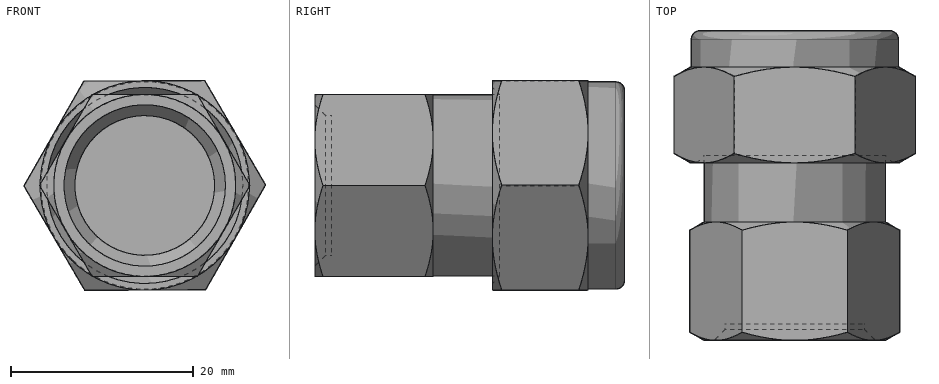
import cadquery as cq
import math

front_hex_length = 13.0
neck_length = 6.5
rear_hex_length = 10.5
collar_length = 4.0

front_hex_flats = 20.0
rear_hex_flats = 23.0
rear_hex_twist = -0.24
neck_diameter = 19.92
collar_diameter = 22.78
collar_fillet = 1.0
hex_chamfer_angle = 30.0

mouth_diameter = 17.7
bore_diameter = 15.35
mouth_depth = (mouth_diameter - bore_diameter) / 2
bore_depth = 1.8

countersink_diameter = 21.52
countersink_depth = (countersink_diameter - neck_diameter) / 2

total_length = front_hex_length + neck_length + rear_hex_length + collar_length
front_y = -total_length / 2
neck_y = front_y + front_hex_length
rear_hex_y = neck_y + neck_length
collar_y = rear_hex_y + rear_hex_length


def plane_at(y):
    """XZ plane at station y with its normal toward +Y."""
    return cq.Plane(origin=(0, y, 0), xDir=(1, 0, 0), normal=(0, 1, 0))


def cylinder(y, diameter, length):
    return cq.Workplane(plane_at(y)).circle(diameter / 2).extrude(length)


def chamfered_hex(y, flats, length):
    """Hexagon with corners on the X axis and both ends turned to a cone from the flats."""
    corners = flats / math.cos(math.radians(30))
    prism = cq.Workplane(plane_at(y)).polygon(6, corners).extrude(length)
    end_radius = flats / 2
    outer_radius = corners / 2
    drop = (outer_radius - end_radius) * math.tan(math.radians(hex_chamfer_angle))
    envelope = (
        cq.Workplane("XY")
        .moveTo(0, y)
        .lineTo(end_radius, y)
        .lineTo(outer_radius, y + drop)
        .lineTo(outer_radius, y + length - drop)
        .lineTo(end_radius, y + length)
        .lineTo(0, y + length)
        .close()
        .revolve(360, (0, 0, 0), (0, 1, 0))
    )
    return prism.intersect(envelope)


def front_bore():
    profile = (
        cq.Workplane("XY")
        .moveTo(0, front_y)
        .lineTo(mouth_diameter / 2, front_y)
        .lineTo(bore_diameter / 2, front_y + mouth_depth)
        .lineTo(bore_diameter / 2, front_y + bore_depth)
        .lineTo(0, front_y + bore_depth)
        .close()
    )
    return profile.revolve(360, (0, 0, 0), (0, 1, 0))


def rear_hex_countersink():
    """Cone narrowing from the rear hexagon's front face down to the neck."""
    profile = (
        cq.Workplane("XY")
        .moveTo(0, rear_hex_y)
        .lineTo(countersink_diameter / 2, rear_hex_y)
        .lineTo(neck_diameter / 2, rear_hex_y + countersink_depth)
        .lineTo(0, rear_hex_y + countersink_depth)
        .close()
    )
    return profile.revolve(360, (0, 0, 0), (0, 1, 0))


front_hex = chamfered_hex(front_y, front_hex_flats, front_hex_length)
neck = cylinder(neck_y, neck_diameter, neck_length + countersink_depth)
rear_hex = (
    chamfered_hex(rear_hex_y, rear_hex_flats, rear_hex_length)
    .rotate((0, 0, 0), (0, 1, 0), rear_hex_twist)
    .cut(rear_hex_countersink())
)
collar = cylinder(collar_y, collar_diameter, collar_length).faces(">Y").edges().fillet(collar_fillet)

result = front_hex.union(neck).union(rear_hex).union(collar).cut(front_bore())